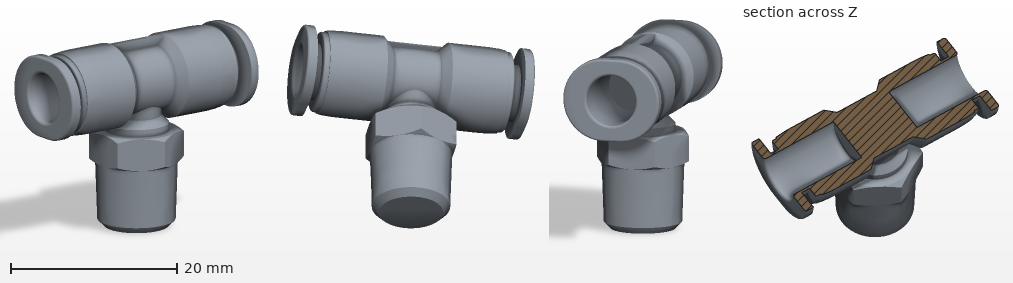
import cadquery as cq
import math


overall_length = 28.0
half_length = overall_length / 2
body_radius = 5.2
waist_radius = 4.03
waist_half_length = 2.83
shoulder_y = waist_half_length + body_radius - waist_radius
taper_start_y = 9.0
taper_end_y = 11.03
taper_end_radius = 5.05
taper_mid_radius = 5.18
cap_radius = 4.87
cap_fillet = 0.22
body_end_y = 11.73

sleeve_radius = 3.45
flange_thickness = 1.2
flange_height = 10.02
flange_flat_length = 2.0
flange_fillet = 0.28
bore_radius = 3.08
bore_mouth_fillet = 0.35

rib_width = 0.95
rib_top_z = 5.07

neck_radius = 3.0
collar_radius = 3.92
collar_edge_z = -5.15
collar_cone_top_z = collar_edge_z + collar_radius - neck_radius
hex_top_z = -6.02
hex_bottom_z = -10.0
hex_across_flats = 10.0
hex_chamfer_radius = hex_across_flats / 2
hex_chamfer_angle = 30.0
thread_top_radius = 4.98
thread_end_radius = 4.73
thread_end_chamfer = 0.85
stem_bottom_z = -18.0


def run_body():
    """One half revolved about Y, then mirrored across the centre."""
    half = (
        cq.Workplane("XY")
        .lineTo(waist_radius, 0)
        .lineTo(waist_radius, waist_half_length)
        .lineTo(body_radius, shoulder_y)
        .lineTo(body_radius, taper_start_y)
        .threePointArc(
            (taper_mid_radius, (taper_start_y + taper_end_y) / 2),
            (taper_end_radius, taper_end_y),
        )
        .lineTo(cap_radius, taper_end_y)
        .lineTo(cap_radius, body_end_y - cap_fillet)
        .radiusArc((cap_radius - cap_fillet, body_end_y), -cap_fillet)
        .lineTo(0, body_end_y)
        .close()
        .revolve(360, (0, 0, 0), (0, 1, 0))
    )
    return half.union(half.mirror("XZ"))


def release_sleeve():
    """Sleeve at the +Y end, rooted at the body shoulder."""
    flange = (
        cq.Workplane("XZ", origin=(0, half_length, 0))
        .slot2D(flange_height + flange_flat_length, flange_height)
        .extrude(flange_thickness)
        .faces(">Y")
        .edges()
        .fillet(flange_fillet)
    )
    neck = (
        cq.Workplane("XZ", origin=(0, half_length - flange_thickness / 2, 0))
        .circle(sleeve_radius)
        .extrude(half_length - flange_thickness / 2 - shoulder_y)
    )
    return flange.union(neck)


def tube_bore():
    """Blind bore from the +Y end to the shoulder, rounded at its mouth."""
    return (
        cq.Workplane("XY")
        .moveTo(0, shoulder_y)
        .lineTo(bore_radius, shoulder_y)
        .lineTo(bore_radius, half_length - bore_mouth_fillet)
        .radiusArc((bore_radius + bore_mouth_fillet, half_length), bore_mouth_fillet)
        .lineTo(0, half_length)
        .close()
        .revolve(360, (0, 0, 0), (0, 1, 0))
    )


def rib():
    return cq.Workplane("XY").box(rib_width, 2 * shoulder_y, rib_top_z, centered=(True, True, False))


def turned_stem():
    """Neck, collar and tapered thread blank as one revolved profile about Z."""
    return (
        cq.Workplane("XZ")
        .lineTo(neck_radius, 0)
        .lineTo(neck_radius, collar_cone_top_z)
        .lineTo(collar_radius, collar_edge_z)
        .lineTo(collar_radius, hex_bottom_z)
        .lineTo(thread_top_radius, hex_bottom_z)
        .lineTo(thread_end_radius, stem_bottom_z + thread_end_chamfer)
        .lineTo(thread_end_radius - thread_end_chamfer, stem_bottom_z)
        .lineTo(0, stem_bottom_z)
        .close()
        .revolve(360, (0, 0, 0), (0, 1, 0))
    )


def hexagon():
    """Hexagon with corners on X, its corners turned down at both ends."""
    across_corners = hex_across_flats / math.cos(math.pi / 6)
    corner_radius = across_corners / 2
    corner_drop = (corner_radius - hex_chamfer_radius) * math.tan(math.radians(hex_chamfer_angle))
    prism = (
        cq.Workplane("XY", origin=(0, 0, hex_bottom_z))
        .polygon(6, across_corners)
        .extrude(hex_top_z - hex_bottom_z)
    )
    turned_blank = (
        cq.Workplane("XZ")
        .moveTo(0, hex_bottom_z)
        .lineTo(hex_chamfer_radius, hex_bottom_z)
        .lineTo(corner_radius, hex_bottom_z + corner_drop)
        .lineTo(corner_radius, hex_top_z - corner_drop)
        .lineTo(hex_chamfer_radius, hex_top_z)
        .lineTo(0, hex_top_z)
        .close()
        .revolve(360, (0, 0, 0), (0, 1, 0))
    )
    return prism.intersect(turned_blank)


sleeve = release_sleeve()
bore = tube_bore()

result = run_body().union(rib()).union(turned_stem()).union(hexagon())
result = result.union(sleeve).union(sleeve.mirror("XZ"))
result = result.cut(bore).cut(bore.mirror("XZ"))